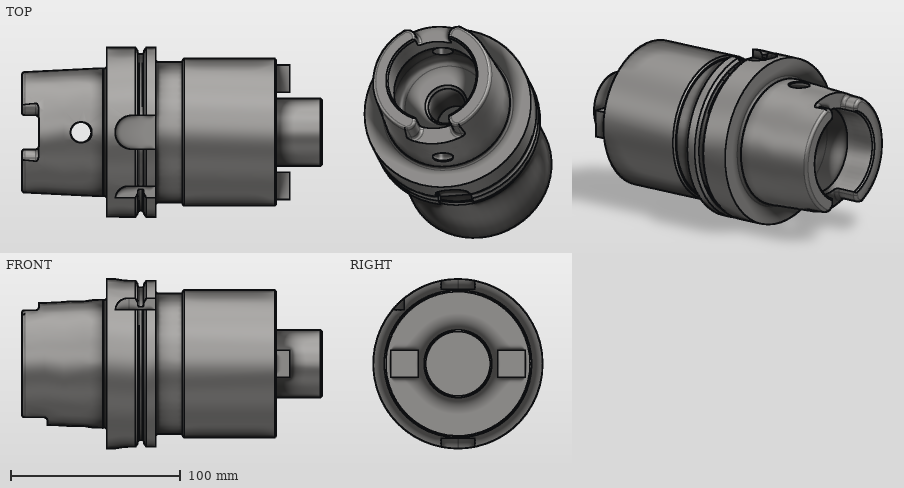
import cadquery as cq
import math

SHANK_LENGTH = 50.0
FLANGE_WIDTH = 29.0
BODY_START = 44.5
BODY_END = 100.0
SPIGOT_LENGTH = 27.0

FLANGE_RADIUS = 50.0
NECK_RADIUS = 41.5
BODY_RADIUS = 43.5
SPIGOT_RADIUS = 20.0
NECK_FILLET = 1.2
BODY_CHAMFER = 1.2
END_CHAMFER = 1.0

GAUGE_RADIUS = 37.5
GAUGE_DISTANCE = 10.0
TAPER_SLOPE = 1.0 / 20.0
TIP_ROUND = 1.8
RELIEF_LENGTH = 2.2
RELIEF_RADIUS = 37.6
RELIEF_FILLET = 1.6

GROOVE_START = 16.9
GROOVE_END = 23.4
GROOVE_BOTTOM_START = 18.3
GROOVE_BOTTOM_END = 21.9
GROOVE_BOTTOM_RADIUS = 46.2
GROOVE_CHAMFER_DEPTH = 2.0
GROOVE_FILLET = 1.0

BORE_RADIUS = 26.5
BORE_CHAMFER = 1.0
RECESS_RADIUS = 30.5
RECESS_START = -30.0
RECESS_ANGLE = 60.0
RECESS_FILLET = 5.7
RECESS_FLOOR = -5.0
COOLANT_RADIUS = 11.0
COOLANT_END = 25.0
COOLANT_CHAMFER = 1.6

DRIVE_SLOT_WIDTH = 20.0
DRIVE_SLOT_DEPTH_TOP = 10.0
DRIVE_SLOT_DEPTH_BOTTOM = 15.0
DRIVE_LIP_HEIGHT = 31.6
DRIVE_LIP_ROUND = 5.0
DRIVE_FLOOR_FILLET = 2.0

CROSS_HOLE_RADIUS = 6.0
CROSS_HOLE_X = -15.2
CROSS_HOLE_CHAMFER = 0.5

KEYWAY_START = 5.0
KEYWAY_WIDTH = 20.0
KEYWAY_FLOOR = 44.0
KEYWAY_END_RADIUS = 9.9
NOTCH_FLOOR = 31.7
NOTCH_END_RADIUS = 8.0

KEY_WIDTH = 16.0
KEY_HEIGHT = 8.0
KEY_INNER = 23.5
KEY_OUTER = 39.7


def taper_radius(x):
    return GAUGE_RADIUS + TAPER_SLOPE * (x + GAUGE_DISTANCE)


def revolve_about_x(profile):
    return profile.close().revolve(360, (0, 0, 0), (1, 0, 0))


def turned_body():
    """Outer outline of the holder, from the shank tip to the spigot end."""
    spigot_end = BODY_END + SPIGOT_LENGTH
    chamfer_start = BODY_START + BODY_CHAMFER
    profile = (
        cq.Workplane("XY")
        .moveTo(-SHANK_LENGTH, 0)
        .lineTo(-SHANK_LENGTH, taper_radius(-SHANK_LENGTH))
        .lineTo(-RELIEF_LENGTH, taper_radius(-RELIEF_LENGTH))
        .lineTo(-RELIEF_FILLET, RELIEF_RADIUS)
        .radiusArc((0, RELIEF_RADIUS + RELIEF_FILLET), -RELIEF_FILLET)
        .lineTo(0, FLANGE_RADIUS)
        .lineTo(FLANGE_WIDTH, FLANGE_RADIUS)
        .lineTo(FLANGE_WIDTH, NECK_RADIUS + NECK_FILLET)
        .radiusArc((FLANGE_WIDTH + NECK_FILLET, NECK_RADIUS), -NECK_FILLET)
        .lineTo(BODY_START, NECK_RADIUS)
        .lineTo(BODY_START, BODY_RADIUS - BODY_CHAMFER)
        .lineTo(chamfer_start, BODY_RADIUS)
        .lineTo(BODY_END - END_CHAMFER, BODY_RADIUS)
        .lineTo(BODY_END, BODY_RADIUS - END_CHAMFER)
        .lineTo(BODY_END, SPIGOT_RADIUS)
        .lineTo(spigot_end - END_CHAMFER, SPIGOT_RADIUS)
        .lineTo(spigot_end, SPIGOT_RADIUS - END_CHAMFER)
        .lineTo(spigot_end, 0)
    )
    return revolve_about_x(profile)


def bore():
    """Stepped bore entered from the shank tip."""
    recess_cone_end = RECESS_START + (RECESS_RADIUS - BORE_RADIUS) / math.tan(math.radians(RECESS_ANGLE))
    profile = (
        cq.Workplane("XY")
        .moveTo(-SHANK_LENGTH, 0)
        .lineTo(-SHANK_LENGTH, BORE_RADIUS + BORE_CHAMFER)
        .lineTo(-SHANK_LENGTH + BORE_CHAMFER, BORE_RADIUS)
        .lineTo(RECESS_START, BORE_RADIUS)
        .lineTo(recess_cone_end, RECESS_RADIUS)
        .lineTo(RECESS_FLOOR - RECESS_FILLET, RECESS_RADIUS)
        .radiusArc((RECESS_FLOOR, RECESS_RADIUS - RECESS_FILLET), RECESS_FILLET)
        .lineTo(RECESS_FLOOR, COOLANT_RADIUS + COOLANT_CHAMFER)
        .lineTo(RECESS_FLOOR + COOLANT_CHAMFER, COOLANT_RADIUS)
        .lineTo(COOLANT_END, COOLANT_RADIUS)
        .lineTo(COOLANT_END, 0)
    )
    return revolve_about_x(profile)


def gripper_groove():
    """Ring cutter for the flange groove, with flared sides and a rounded bottom."""
    flare_radius = FLANGE_RADIUS - GROOVE_CHAMFER_DEPTH
    fillet_top = GROOVE_BOTTOM_RADIUS + GROOVE_FILLET
    profile = (
        cq.Workplane("XY")
        .moveTo(GROOVE_START, FLANGE_RADIUS)
        .lineTo(GROOVE_BOTTOM_START, flare_radius)
        .lineTo(GROOVE_BOTTOM_START, fillet_top)
        .radiusArc((GROOVE_BOTTOM_START + GROOVE_FILLET, GROOVE_BOTTOM_RADIUS), -GROOVE_FILLET)
        .lineTo(GROOVE_BOTTOM_END - GROOVE_FILLET, GROOVE_BOTTOM_RADIUS)
        .radiusArc((GROOVE_BOTTOM_END, fillet_top), -GROOVE_FILLET)
        .lineTo(GROOVE_BOTTOM_END, flare_radius)
        .lineTo(GROOVE_END, FLANGE_RADIUS)
    )
    return revolve_about_x(profile)


def drive_slot(depth):
    """Slot cutter on the +Z side of the tip, widening over rounded lips."""
    half = DRIVE_SLOT_WIDTH / 2
    lip_start = DRIVE_LIP_HEIGHT - DRIVE_LIP_ROUND
    side = GAUGE_RADIUS
    return (
        cq.Workplane("YZ", origin=(-SHANK_LENGTH, 0, 0))
        .moveTo(-half, 0)
        .lineTo(half, 0)
        .lineTo(half, lip_start)
        .radiusArc((half + DRIVE_LIP_ROUND, DRIVE_LIP_HEIGHT), DRIVE_LIP_ROUND)
        .lineTo(side, DRIVE_LIP_HEIGHT)
        .lineTo(side, FLANGE_RADIUS)
        .lineTo(-side, FLANGE_RADIUS)
        .lineTo(-side, DRIVE_LIP_HEIGHT)
        .lineTo(-half - DRIVE_LIP_ROUND, DRIVE_LIP_HEIGHT)
        .radiusArc((-half, lip_start), DRIVE_LIP_ROUND)
        .close()
        .extrude(depth)
        .faces(">X")
        .edges()
        .fillet(DRIVE_FLOOR_FILLET)
    )


def cross_hole():
    """Through hole along Z, chamfered where it meets the shank surface."""
    surface = taper_radius(CROSS_HOLE_X)
    hole = cq.Workplane("XY").center(CROSS_HOLE_X, 0).circle(CROSS_HOLE_RADIUS)
    cutter = hole.extrude(FLANGE_RADIUS, both=True)
    rim = CROSS_HOLE_RADIUS + CROSS_HOLE_CHAMFER
    for side in (1, -1):
        flare = cq.Solid.makeCone(
            rim,
            0,
            rim,
            pnt=cq.Vector(CROSS_HOLE_X, 0, side * surface),
            dir=cq.Vector(0, 0, -side),
        )
        cutter = cutter.union(cq.Workplane(flare))
    return cutter


def milled_pocket(y_min, y_max, floor, end_radius):
    """Cutter open toward +X and +Z, with rounded corners at its closed end."""
    length = FLANGE_WIDTH - KEYWAY_START
    return (
        cq.Workplane("XY")
        .box(length, y_max - y_min, FLANGE_RADIUS, centered=False)
        .edges("|Z and <X")
        .fillet(end_radius)
        .translate((KEYWAY_START, y_min, floor))
    )


def driving_key():
    """Key on the front face, on the +Y side."""
    block = cq.Workplane("XY").box(KEY_HEIGHT, KEY_OUTER - KEY_INNER, KEY_WIDTH, centered=(False, False, True))
    return block.translate((BODY_END, KEY_INNER, 0))


def half_turn(shape):
    return shape.rotate((0, 0, 0), (1, 0, 0), 180)


keyway = milled_pocket(-KEYWAY_WIDTH / 2, KEYWAY_WIDTH / 2, KEYWAY_FLOOR, KEYWAY_END_RADIUS)
notch = milled_pocket(-2 * FLANGE_RADIUS, -NOTCH_FLOOR, NOTCH_FLOOR, NOTCH_END_RADIUS)
key = driving_key()

result = turned_body()
result = result.cut(drive_slot(DRIVE_SLOT_DEPTH_TOP)).cut(half_turn(drive_slot(DRIVE_SLOT_DEPTH_BOTTOM)))
result = result.faces("<X").edges().fillet(TIP_ROUND)
result = result.cut(bore()).cut(cross_hole()).cut(gripper_groove())
result = result.cut(keyway).cut(half_turn(keyway)).cut(notch)
result = result.union(key).union(half_turn(key))